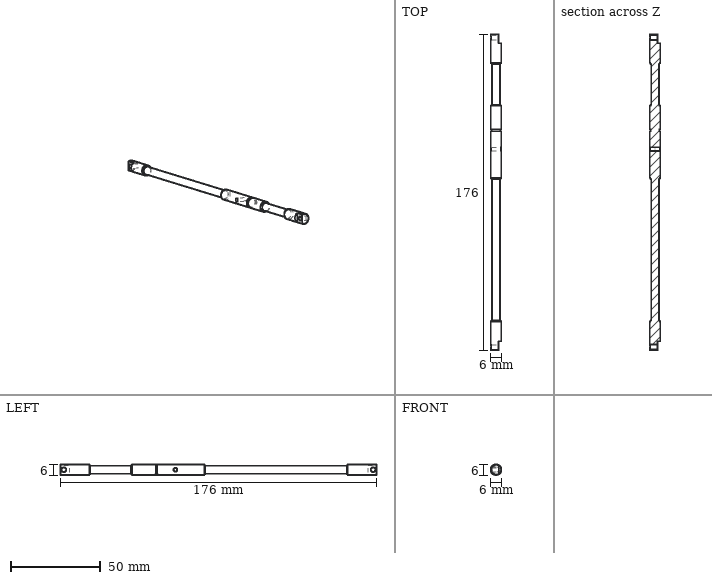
import cadquery as cq

length = 176.0
collar_diameter = 6.0
rod_diameter = 4.5

end_collar_length = 16.0
end_chamfer = 0.25
sleeve_start = 40.0
sleeve_end = 53.0
groove_diameter = 5.0
grip_start = 54.0
grip_end = 80.0
step_taper = (collar_diameter - rod_diameter) / 2

flat_length = 5.0
flat_x = 1.5
end_hole_diameter = 2.5
end_hole_inset = 2.0
grip_hole_diameter = 2.0
grip_hole_station = 64.0

collar_radius = collar_diameter / 2
rod_radius = rod_diameter / 2
groove_radius = groove_diameter / 2
half_length = length / 2


def y_at(station):
    """Y coordinate of a station measured from the +Y end."""
    return half_length - station


def turned_body():
    """Stepped round body, revolved about the Y axis."""
    far_collar_start = length - end_collar_length
    profile = [
        (0, 0),
        (collar_radius - end_chamfer, 0),
        (collar_radius, end_chamfer),
        (collar_radius, end_collar_length),
        (rod_radius, end_collar_length + step_taper),
        (rod_radius, sleeve_start - step_taper),
        (collar_radius, sleeve_start),
        (collar_radius, sleeve_end),
        (groove_radius, sleeve_end),
        (groove_radius, grip_start),
        (collar_radius, grip_start),
        (collar_radius, grip_end),
        (rod_radius, grip_end + step_taper),
        (rod_radius, far_collar_start - step_taper),
        (collar_radius, far_collar_start),
        (collar_radius, length - end_chamfer),
        (collar_radius - end_chamfer, length),
        (0, length),
    ]
    points = [(radius, y_at(station)) for radius, station in profile]
    return cq.Workplane("XY").polyline(points).close().revolve(360, (0, 0, 0), (0, 1, 0))


def end_flat(end_sign):
    """Block that cuts the +X flat on one end of the rod."""
    cut_depth = collar_radius - flat_x
    center_y = end_sign * (half_length - flat_length / 2)
    block = cq.Workplane("XY").box(cut_depth, flat_length, collar_diameter)
    return block.translate((flat_x + cut_depth / 2, center_y, 0))


def cross_hole(diameter, y):
    """Drill passing through the part along X."""
    drill = cq.Workplane("YZ").circle(diameter / 2).extrude(collar_radius, both=True)
    return drill.translate((0, y, 0))


result = turned_body()
for end_sign in (1, -1):
    result = result.cut(end_flat(end_sign))
    result = result.cut(cross_hole(end_hole_diameter, end_sign * (half_length - end_hole_inset)))
result = result.cut(cross_hole(grip_hole_diameter, y_at(grip_hole_station)))